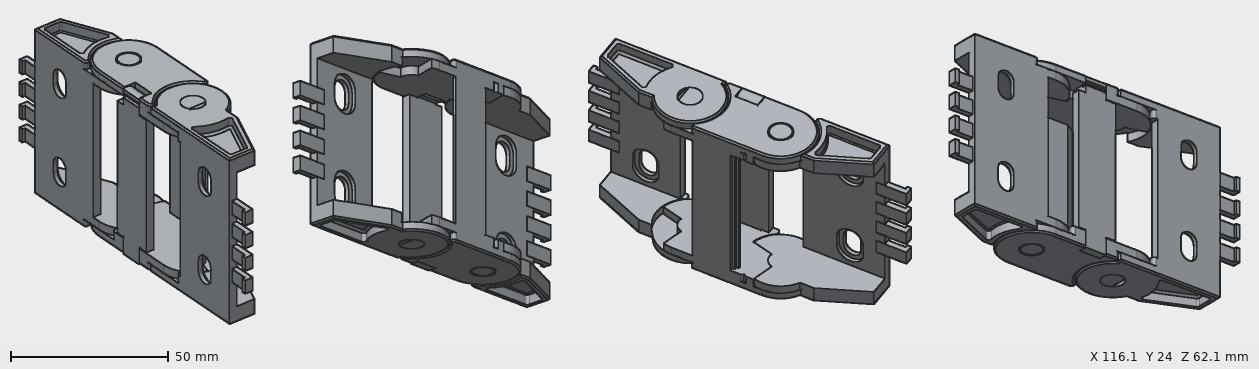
import cadquery as cq

pitch = 33.1
half_width = 31.03
arm_thickness = 6.0
layer_split = 28.1
plate_thickness = 3.0
inner_half = half_width - arm_thickness

lug_radius = 12.01
lug_height = 2 * lug_radius
recess_radius = 12.3
recess_reach = 7.0
recess_rounding = 1.0
pin_radius = 4.1
pin_chamfer = 0.41
ramp_start = 2.3
ramp_drop = 1.4
edge_chamfer = 0.6

swing_start = -15

left_reach = 33.0
right_reach = 34.1
left_plate_start = 3.0
right_plate_start = 8.7
end_height = 10.1
shoulder_height = 18.0
shoulder_reach = 15.4
heel_reach = 6.4

pocket_wall = 2.0
pocket_depth = 3.7
pocket_arc_radius = 14.6
pocket_rounding = 0.9
left_pocket_chamfer = 0.5
right_pocket_chamfer = 0.8

slot_to_end = 12.8
slot_length = 10.2
slot_width = 6.4
slot_height = 16.5
slot_floor = 1.6
slot_shoulder = 1.6

tab_count = 4
tab_pitch = 8.5
tab_width = 5.0
tab_bottom = 1.0
tab_top = 3.1
hook_thickness = 1.5
left_tab_length = 7.9
right_tab_length = 8.0
left_tab_shift = 0.3
right_tab_shift = -0.1

back_bar_start = 9.7
back_bar_end = 25.4
back_bar_flat_end = 21.9
back_bar_slope_end = 23.0
back_bar_step = 0.9

bar_start = 9.5
bar_end = 24.5
bar_half_length = 24.7
neck_start = 12.4
neck_end = 20.6
clip_depth = 5.0
clip_relief = 6.5
clip_crown = 30.7
clip_front = 30.5
clip_back = 28.5
clip_crown_depth = 1.9
groove_low = 27.4
groove_high = 29.1
groove_depth = 1.6


def box(x0, x1, y0, y1, z0, z1):
    """Box between two opposite corners."""
    return cq.Workplane("XY").box(x1 - x0, y1 - y0, z1 - z0, centered=False).translate((x0, y0, z0))


def disc(x, radius, z0, z1):
    """Round plate about the pivot axis at the given X."""
    return cq.Workplane("XY", origin=(x, lug_radius, z0)).circle(radius).extrude(z1 - z0)


def both_sides(part):
    """The part and its mirror image across the middle of the width."""
    return part.union(part.mirror("XY"))


def pin(x):
    """Pivot pin that stands in the outer layer."""
    return disc(x, pin_radius, layer_split, half_width)


def recess_tool(x, direction, z0, z1):
    """Lug clearance at a pivot; everything short of its straight wall is cleared as well."""
    wall = x + direction * recess_reach
    far = x - direction * pitch
    clear = box(min(wall, far), max(wall, far), 0, lug_height, z0, z1)
    return clear.union(disc(x, recess_radius, z0, z1))


def round_recess_corners(layer, x, direction, heights):
    """Round the upright edges where the straight recess wall meets the long outer faces."""
    wall = x + direction * recess_reach
    for height in heights:
        corner = cq.selectors.BoxSelector(
            (wall - 0.1, height - 0.1, 0), (wall + 0.1, height + 0.1, half_width), boundingbox=False
        )
        layer = layer.edges("|Z").edges(corner).fillet(recess_rounding)
    return layer


def swing_notch(x):
    """Quarter taken out of an inner lug, down to its hub."""
    depth = layer_split - inner_half
    quarter = box(0, lug_height, 0, lug_height, 0, depth).rotate((0, 0, 0), (0, 0, 1), swing_start)
    quarter = quarter.translate((x, lug_radius, inner_half))
    return quarter.cut(disc(x, pin_radius, inner_half, layer_split))




def wing(reach, z0, z1):
    """Arm layer with its sloped end, without the lug."""
    return (
        cq.Workplane("XY", origin=(0, 0, z0))
        .polyline([
            (0, 0),
            (reach, 0),
            (reach, end_height),
            (shoulder_reach, shoulder_height),
            (0, shoulder_height),
        ])
        .close()
        .extrude(z1 - z0)
    )


def lug_layer(reach, z0, z1):
    """Arm layer that ends in a round lug."""
    return wing(reach, z0, z1).union(disc(0, lug_radius, z0, z1))


def recess_layer(reach, z0, z1):
    """Arm layer that stops short of the neighbouring lug."""
    layer = wing(reach, z0, z1).cut(recess_tool(0, 1, z0, z1))
    return round_recess_corners(layer, 0, 1, [0])


def side_pocket(reach, floor_chamfer):
    """Blind pocket that follows the sloped arm outline and the lug recess."""
    floor = half_width - pocket_depth
    slope = (shoulder_height - end_height) / (reach - shoulder_reach)
    pocket = (
        cq.Workplane("XY", origin=(0, 0, floor))
        .polyline([(0, 0), (reach, 0), (reach, end_height), (0, end_height + slope * reach)])
        .close()
        .offset2D(-pocket_wall)
        .extrude(pocket_depth)
    )
    pocket = pocket.cut(disc(0, pocket_arc_radius, floor, half_width))
    return pocket.edges("|Z").fillet(pocket_rounding).faces("<Z").chamfer(floor_chamfer)


def slot_pair(reach, grow, y0, y1):
    """Two upright slots in the mounting plate, enlarged all round by the given amount."""
    return (
        cq.Workplane("XZ", origin=(0, y0, 0))
        .pushPoints([(reach - slot_to_end, z) for z in (-slot_height, slot_height)])
        .slot2D(slot_length + 2 * grow, slot_width + 2 * grow, 90)
        .extrude(y0 - y1)
    )


def tie_tabs(reach, length, shift):
    """Row of hooked tabs on the mounting end."""
    tip = reach + length
    tabs = cq.Workplane("XY")
    for i in range(tab_count):
        z0 = shift + (i - (tab_count - 1) / 2) * tab_pitch - tab_width / 2
        z1 = z0 + tab_width
        tabs = tabs.union(box(reach - tab_top, tip, tab_bottom, tab_top, z0, z1))
        tabs = tabs.union(box(tip - hook_thickness, tip, 0, tab_top, z0, z1))
    return tabs


def bracket(arm, reach, plate_start, pocket_chamfer, tab_length, tab_shift):
    """Bracket from one arm, its mirror image, the mounting plate and the tabs."""
    plate = box(plate_start, reach, 0, plate_thickness, -inner_half, inner_half)
    body = both_sides(arm.cut(side_pocket(reach, pocket_chamfer))).union(plate)
    body = body.cut(slot_pair(reach, 0, 0, plate_thickness))
    body = body.cut(slot_pair(reach, slot_shoulder, slot_floor, plate_thickness))
    return body.union(tie_tabs(reach, tab_length, tab_shift))


def make_left_bracket():
    """Bracket with inner lugs whose pins point outwards into the link."""
    outer = recess_layer(left_reach, layer_split, half_width).faces(">Z").chamfer(edge_chamfer)
    arm = lug_layer(left_reach, inner_half, layer_split).union(outer)
    arm = arm.union(pin(0).faces(">Z").chamfer(pin_chamfer))
    body = bracket(
        arm, left_reach, left_plate_start, left_pocket_chamfer, left_tab_length, left_tab_shift
    )
    return body.mirror("YZ").cut(both_sides(swing_notch(0)))


def make_right_bracket():
    """Bracket with outer lugs that take the pins of the link."""
    outer = lug_layer(right_reach, layer_split, half_width)
    outer = outer.union(box(-heel_reach, 0, 0, lug_radius / 2, layer_split, half_width))
    outer = outer.faces(">Z").chamfer(edge_chamfer)
    arm = recess_layer(right_reach, inner_half, layer_split).union(outer.cut(pin(0)))
    body = bracket(
        arm, right_reach, right_plate_start, right_pocket_chamfer, right_tab_length, right_tab_shift
    )
    return body.translate((pitch, 0, 0))




def swing_stop():
    """Stop in the notch of the left bracket's inner lug, reaching back to the recess wall."""
    rim = disc(0, recess_radius + recess_rounding, inner_half, layer_split)
    below_back = box(0, pitch, 0, lug_height, inner_half, layer_split)
    return swing_notch(0).intersect(rim).intersect(below_back)


def link_layer(lug_x, recess_x, direction, z0, z1):
    """Side plate layer with a lug at one pivot and a lug recess at the other."""
    layer = box(0, pitch, 0, lug_height, z0, z1).union(disc(lug_x, lug_radius, z0, z1))
    layer = layer.cut(recess_tool(recess_x, direction, z0, z1))
    return round_recess_corners(layer, recess_x, direction, [0, lug_height])


def ramped_pin():
    """Link pin whose tip slopes away on the side that snaps into the right bracket."""
    ramp = (
        cq.Workplane("XZ")
        .polyline([
            (pitch + ramp_start, half_width),
            (pitch + pin_radius, half_width),
            (pitch + pin_radius, half_width - ramp_drop),
        ])
        .close()
        .extrude(-lug_height)
    )
    return pin(pitch).cut(ramp)


def back_bar():
    """Fixed bar along the back, bevelled towards the right bracket and stepped towards the left one."""
    front = lug_height - plate_thickness
    return (
        cq.Workplane("XY", origin=(0, 0, -inner_half))
        .polyline([
            (back_bar_start, front),
            (back_bar_flat_end, front),
            (back_bar_end, back_bar_slope_end),
            (back_bar_end, lug_height),
            (back_bar_start + 2 * back_bar_step, lug_height),
            (back_bar_start + 2 * back_bar_step, front + 2 * back_bar_step),
            (back_bar_start + back_bar_step, front + 2 * back_bar_step),
            (back_bar_start + back_bar_step, front + back_bar_step),
            (back_bar_start, front + back_bar_step),
        ])
        .close()
        .extrude(2 * inner_half)
    )


def make_link():
    """Two side plates with their pins, joined by the back bar and seated for the crossbar."""
    outer = link_layer(0, pitch, -1, layer_split, half_width)
    outer = outer.faces(">Z").chamfer(edge_chamfer).cut(pin(0))
    inner = link_layer(pitch, 0, 1, inner_half, layer_split).cut(swing_notch(pitch))
    inner = inner.union(swing_stop())
    side = outer.union(inner).union(ramped_pin())
    body = both_sides(side).union(back_bar())
    clip_seat = box(neck_start, neck_end, 0, clip_depth, inner_half, half_width)
    relief = box(recess_reach - recess_rounding, neck_end, 0, clip_relief, inner_half, layer_split)
    plain_seat = box(neck_start, neck_end, 0, plate_thickness, -half_width, -inner_half)
    return body.cut(clip_seat).cut(relief).cut(plain_seat)




def clip_head():
    """Rounded head that fills the clip seat, grooved across its front."""
    mid_groove = (groove_low + groove_high) / 2
    bead = (groove_high - groove_low) / 2
    return (
        cq.Workplane("YZ", origin=(neck_start, 0, 0))
        .moveTo(0, inner_half)
        .lineTo(0, groove_low)
        .lineTo(groove_depth, groove_low)
        .threePointArc((groove_depth - bead, mid_groove), (groove_depth, groove_high))
        .lineTo(0, groove_high)
        .lineTo(0, clip_front)
        .threePointArc((clip_crown_depth, clip_crown), (clip_depth, clip_back))
        .lineTo(clip_depth, inner_half)
        .close()
        .extrude(neck_end - neck_start)
    )


def make_crossbar():
    """Flat bar with a plain neck at one end and the clip head at the other."""
    bar = box(bar_start, bar_end, 0, plate_thickness, -bar_half_length, bar_half_length)
    neck = box(neck_start, neck_end, 0, plate_thickness, -half_width, inner_half)
    return bar.union(neck).union(clip_head())


left_bracket = make_left_bracket()
right_bracket = make_right_bracket()
link = make_link()
crossbar = make_crossbar()

result = cq.Compound.makeCompound([
    left_bracket.val(),
    right_bracket.val(),
    link.val(),
    crossbar.val(),
])